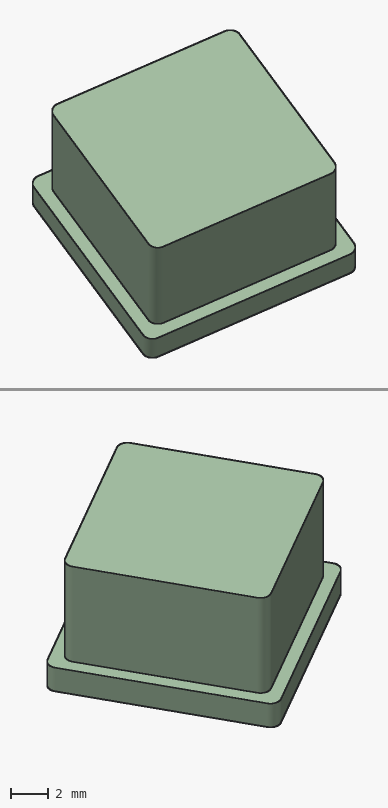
import cadquery as cq

flange_side = 12.954
flange_height = 1.5875
total_height = 7.9375
ledge_width = 0.762
corner_radius = 0.59

block_side = flange_side - 2 * ledge_width
block_height = total_height - flange_height


def rounded_square_block(side, height, base_z):
    """Square block centred on the Z axis with rounded vertical edges."""
    block = cq.Workplane("XY").workplane(offset=base_z).rect(side, side).extrude(height)
    return block.edges("|Z").fillet(corner_radius)


flange = rounded_square_block(flange_side, flange_height, 0)
block = rounded_square_block(block_side, block_height, flange_height)

result = flange.union(block)